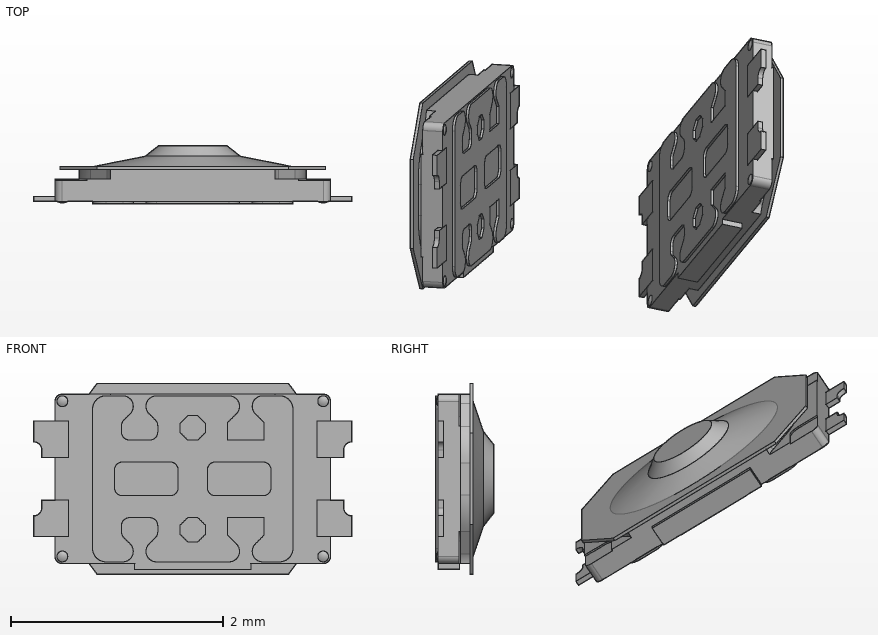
import cadquery as cq
import math

PAD_DEPTH = 0.025
TERMINAL_THICKNESS = 0.048
RECESS_LEVEL = 0.195
BASE_LEVEL = 0.21
RIM_LEVEL = 0.3
COVER_LEVEL = 0.33
DOME_BREAK_LEVEL = 0.425
TOP_LEVEL = 0.525

BASE_LENGTH = 2.6
BASE_WIDTH = 1.6
BASE_CORNER_RADIUS = 0.07
RECESS_SIZE = 0.303
RECESS_RADIUS = 0.09
TAB_LENGTH = 1.095
TAB_PROJECTION = 0.055
TAB_HEIGHT = 0.2

RIM_HALF_LENGTH = 1.07
RIM_HALF_WIDTH = BASE_WIDTH / 2
RIM_FLAT_HALF_WIDTH = 0.15
RIM_SLANT_OUTER = (0.963, 0.495)
RIM_SLANT_INNER = (0.81, 0.71)
RIM_TOP_HALF_LENGTH = 0.775

COVER_LENGTH = 2.508
COVER_WIDTH = 1.8
COVER_TOP_HALF_LENGTH = 0.903
COVER_END_HALF_WIDTH = 0.432
DOME_BASE_HALF_LENGTH = 0.935
DOME_BASE_HALF_WIDTH = 0.732
DOME_BREAK_RADIUS = 0.45
DOME_TOP_RADIUS = 0.325

PAD_LENGTH = 1.89
PAD_WIDTH = 1.565
PAD_CORNER_RADIUS = 0.125
SLOT_LENGTH = 0.6
SLOT_WIDTH = 0.318
SLOT_RADIUS = 0.075
SLOT_CENTRE = 0.438
OCTAGON_LENGTH = 0.237
OCTAGON_WIDTH = 0.23
OCTAGON_CHAMFER = 0.072
OCTAGON_CENTRE = 0.48
KEYHOLE_CENTRE = 0.5
KEYHOLE_HALF_LENGTH = 0.17
KEYHOLE_NECK_HALF_LENGTH = 0.06
KEYHOLE_LIP_RADIUS = 0.1
KEYHOLE_END = 0.365
KEYHOLE_CORNER_RADIUS = 0.075

BUMP_RADIUS = 0.05
BUMP_HEIGHT = 0.015
BUMP_X = 1.23
BUMP_Z = 0.732

TERMINAL_END = 1.5
TERMINAL_INNER_END = 1.17
TERMINAL_OUTER_SIDE = 0.545
TERMINAL_INNER_SIDE = 0.2
NOTCH_WIDTH = 0.147
NOTCH_RADIUS = 0.075

SIDES = (-1, 1)
QUADRANTS = [(sx, sz) for sx in SIDES for sz in SIDES]


def plane_at(level):
    """Workplane facing -Y at a level, with local x along X and local y along Z."""
    return cq.Workplane("XZ", origin=(0, level, 0))


def raise_profile(profile, height):
    """Extrude a profile from its plane toward +Y."""
    return profile.extrude(-height)


def make_base():
    base = raise_profile(plane_at(0).rect(BASE_LENGTH, BASE_WIDTH), BASE_LEVEL)
    base = base.edges("|Y").fillet(BASE_CORNER_RADIUS)
    tab_profile = plane_at(0).center(0, -BASE_WIDTH / 2).rect(TAB_LENGTH, 2 * TAB_PROJECTION)
    base = base.union(raise_profile(tab_profile, TAB_HEIGHT))
    for sx, sz in QUADRANTS:
        recess_profile = (
            plane_at(RECESS_LEVEL)
            .center(sx * BASE_LENGTH / 2, sz * BASE_WIDTH / 2)
            .rect(2 * RECESS_SIZE, 2 * RECESS_SIZE)
        )
        recess = raise_profile(recess_profile, BASE_LEVEL - RECESS_LEVEL)
        base = base.cut(recess.edges("|Y").fillet(RECESS_RADIUS))
    return base


def make_rim():
    """Rim with slanted corners; arcs join each slant to the straight end and to the long side."""
    quarter = (
        plane_at(BASE_LEVEL)
        .moveTo(0, 0)
        .lineTo(RIM_HALF_LENGTH, 0)
        .lineTo(RIM_HALF_LENGTH, RIM_FLAT_HALF_WIDTH)
        .tangentArcPoint(RIM_SLANT_OUTER, relative=False)
        .lineTo(*RIM_SLANT_INNER)
        .tangentArcPoint((RIM_TOP_HALF_LENGTH, RIM_HALF_WIDTH), relative=False)
        .lineTo(0, RIM_HALF_WIDTH)
        .close()
    )
    quarter = raise_profile(quarter, RIM_LEVEL - BASE_LEVEL)
    half = quarter.union(quarter.mirror("YZ"))
    return half.union(half.mirror("XY"))


def make_cover():
    """Thin eight-sided cover sheet with the raised dome."""
    corners = [
        (COVER_TOP_HALF_LENGTH, COVER_WIDTH / 2),
        (COVER_LENGTH / 2, COVER_END_HALF_WIDTH),
        (COVER_LENGTH / 2, -COVER_END_HALF_WIDTH),
        (COVER_TOP_HALF_LENGTH, -COVER_WIDTH / 2),
    ]
    outline = corners + [(-x, z) for x, z in reversed(corners)]
    sheet = raise_profile(plane_at(RIM_LEVEL).polyline(outline).close(), COVER_LEVEL - RIM_LEVEL)
    shallow_slope = (
        plane_at(COVER_LEVEL)
        .ellipse(DOME_BASE_HALF_LENGTH, DOME_BASE_HALF_WIDTH)
        .workplane(offset=COVER_LEVEL - DOME_BREAK_LEVEL)
        .ellipse(DOME_BREAK_RADIUS, DOME_BREAK_RADIUS)
        .loft(ruled=True)
    )
    steep_slope = (
        plane_at(DOME_BREAK_LEVEL)
        .circle(DOME_BREAK_RADIUS)
        .workplane(offset=DOME_BREAK_LEVEL - TOP_LEVEL)
        .circle(DOME_TOP_RADIUS)
        .loft(ruled=True)
    )
    return sheet.union(shallow_slope).union(steep_slope)


def make_keyhole(rounded):
    """Opening at the +X, +Z corner: flared mouth on the pad edge, narrow neck, wide end."""
    mouth_z = PAD_WIDTH / 2
    diagonal = KEYHOLE_LIP_RADIUS * math.sqrt(0.5)
    lip_x = KEYHOLE_NECK_HALF_LENGTH + KEYHOLE_LIP_RADIUS
    lip_z = mouth_z - KEYHOLE_LIP_RADIUS
    slant_start = (lip_x - diagonal, lip_z - diagonal)
    shoulder_z = slant_start[1] - (KEYHOLE_HALF_LENGTH - slant_start[0])
    half = (
        plane_at(-PAD_DEPTH)
        .center(KEYHOLE_CENTRE, 0)
        .moveTo(0, mouth_z)
        .lineTo(lip_x, mouth_z)
        .threePointArc((KEYHOLE_NECK_HALF_LENGTH, lip_z), slant_start)
        .lineTo(KEYHOLE_HALF_LENGTH, shoulder_z)
        .lineTo(KEYHOLE_HALF_LENGTH, KEYHOLE_END)
        .lineTo(0, KEYHOLE_END)
        .close()
    )
    half = raise_profile(half, PAD_DEPTH)
    if rounded:
        reach = KEYHOLE_CENTRE + KEYHOLE_HALF_LENGTH
        for z in (KEYHOLE_END, shoulder_z):
            corner = cq.selectors.NearestToPointSelector((reach, -PAD_DEPTH / 2, z))
            half = half.edges("|Y").edges(corner).fillet(KEYHOLE_CORNER_RADIUS)
    other_half = half.mirror("YZ", basePointVector=(KEYHOLE_CENTRE, 0, 0))
    return half.union(other_half)


def make_pad():
    pad = raise_profile(plane_at(-PAD_DEPTH).rect(PAD_LENGTH, PAD_WIDTH), PAD_DEPTH)
    pad = pad.edges("|Y").fillet(PAD_CORNER_RADIUS)
    slots = raise_profile(
        plane_at(-PAD_DEPTH)
        .pushPoints([(side * SLOT_CENTRE, 0) for side in SIDES])
        .rect(SLOT_LENGTH, SLOT_WIDTH),
        PAD_DEPTH,
    )
    pad = pad.cut(slots.edges("|Y").fillet(SLOT_RADIUS))
    octagons = raise_profile(
        plane_at(-PAD_DEPTH)
        .pushPoints([(0, side * OCTAGON_CENTRE) for side in SIDES])
        .rect(OCTAGON_LENGTH, OCTAGON_WIDTH),
        PAD_DEPTH,
    )
    pad = pad.cut(octagons.edges("|Y").chamfer(OCTAGON_CHAMFER))
    right_keyhole = make_keyhole(rounded=False)
    left_keyhole = make_keyhole(rounded=True).mirror("YZ")
    for keyhole in (right_keyhole, left_keyhole):
        pad = pad.cut(keyhole).cut(keyhole.mirror("XY"))
    return pad


def make_bump(x, z):
    """Spherical cap standing out of the seating face."""
    sphere_radius = (BUMP_RADIUS**2 + BUMP_HEIGHT**2) / (2 * BUMP_HEIGHT)
    sphere_depth = sphere_radius - BUMP_HEIGHT
    sphere = cq.Workplane("XY").sphere(sphere_radius).translate((x, sphere_depth, z))
    cylinder = raise_profile(plane_at(-BUMP_HEIGHT).center(x, z).circle(BUMP_RADIUS), 2 * BUMP_HEIGHT)
    return sphere.intersect(cylinder)


def make_terminal(sx, sz):
    """Flat terminal lying in the seating face, notched at its outer end."""
    notch_x = TERMINAL_END - NOTCH_RADIUS
    notch_z = TERMINAL_INNER_SIDE + NOTCH_WIDTH
    arc_start_z = notch_z - NOTCH_RADIUS
    diagonal = NOTCH_RADIUS * math.sqrt(0.5)
    arc_middle = (TERMINAL_END - diagonal, arc_start_z + diagonal)
    profile = (
        plane_at(0)
        .moveTo(TERMINAL_INNER_END, TERMINAL_INNER_SIDE)
        .lineTo(notch_x, TERMINAL_INNER_SIDE)
        .lineTo(notch_x, arc_start_z)
        .threePointArc(arc_middle, (TERMINAL_END, notch_z))
        .lineTo(TERMINAL_END, TERMINAL_OUTER_SIDE)
        .lineTo(TERMINAL_INNER_END, TERMINAL_OUTER_SIDE)
        .close()
    )
    terminal = raise_profile(profile, TERMINAL_THICKNESS)
    if sx < 0:
        terminal = terminal.mirror("YZ")
    if sz < 0:
        terminal = terminal.mirror("XY")
    return terminal


def make_housing(terminals):
    housing = make_base().union(make_rim()).union(make_cover()).union(make_pad())
    for sx, sz in QUADRANTS:
        housing = housing.union(make_bump(sx * BUMP_X, sz * BUMP_Z))
    for terminal in terminals:
        housing = housing.cut(terminal)
    return housing


terminals = [make_terminal(sx, sz) for sx, sz in QUADRANTS]
housing = make_housing(terminals)

result = cq.Compound.makeCompound([*housing.solids().vals(), *[terminal.val() for terminal in terminals]])